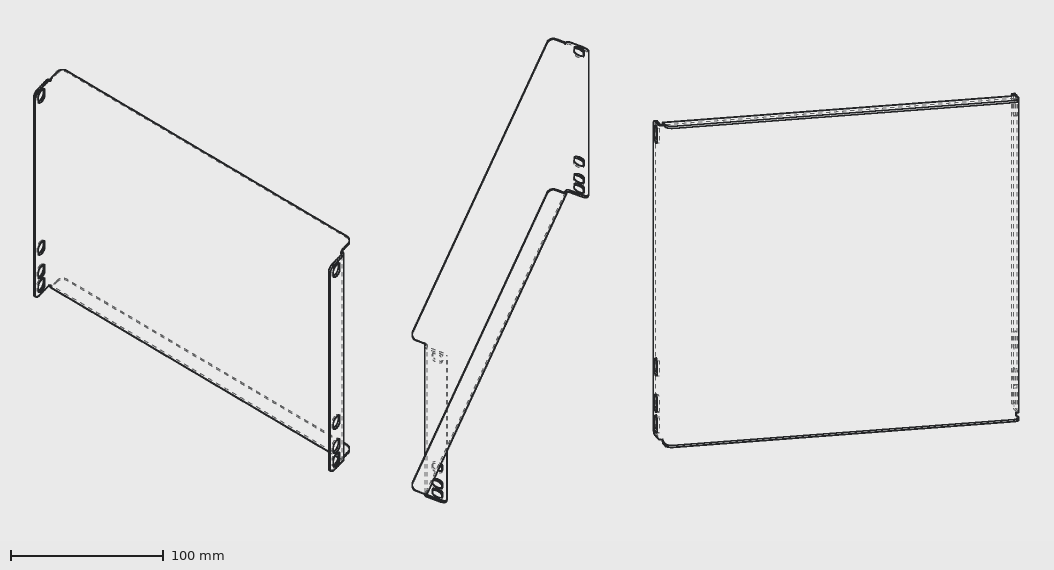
import cadquery as cq

width = 244.0
depth = 26.8
height = 220.0

thickness = 1.5
inner_bend = 0.7
outer_bend = inner_bend + thickness
corner_relief = 2.5

panel_front = 14.6
panel_back = panel_front + thickness
flange_corner_radius = 4.5

slot_width = 7.0
slot_length = 12.0
slot_y = 6.8
end_slot_z = 99.3
slot_heights = (end_slot_z, -60.3, -85.2, -end_slot_z)


def rounded_block(plane, span, base, top, radius, length):
    """Block from local y = base to y = top, rounded along its two base edges."""
    half = span / 2
    return (
        cq.Workplane(plane)
        .moveTo(-half, top)
        .lineTo(-half, base + radius)
        .tangentArcPoint((radius, -radius))
        .lineTo(half - radius, base)
        .tangentArcPoint((radius, radius))
        .lineTo(half, top)
        .close()
        .extrude(length)
    )


def bent_channel(plane, span, leg, length):
    """Bent channel: web along the local X axis, legs rising along local +Y."""
    outer = rounded_block(plane, span, 0, leg, outer_bend, length)
    inner = rounded_block(plane, span - 2 * thickness, thickness, leg, inner_bend, length)
    return outer.cut(inner)


def side_channel():
    """Panel with the two side flanges, their free corners rounded and slots cut."""
    length = height - 2 * corner_relief
    plane = cq.Plane(origin=(0, panel_back, -length / 2), xDir=(-1, 0, 0), normal=(0, 0, 1))
    channel = bent_channel(plane, width, panel_back, length)
    channel = channel.faces("<Y").edges("|X").fillet(flange_corner_radius)
    slots = (
        cq.Workplane("YZ", origin=(-width / 2, 0, 0))
        .pushPoints([(slot_y, z) for z in slot_heights])
        .slot2D(slot_length, slot_width, 90)
        .extrude(width)
    )
    return channel.cut(slots)


def top_bottom_channel():
    """Panel with the top and bottom flanges, their free corners rounded."""
    length = width - 2 * corner_relief
    plane = cq.Plane(origin=(length / 2, panel_front, 0), xDir=(0, 0, 1), normal=(-1, 0, 0))
    channel = bent_channel(plane, height, depth - panel_front, length)
    return channel.faces(">Y").edges("|Z").fillet(flange_corner_radius)


result = side_channel().union(top_bottom_channel())